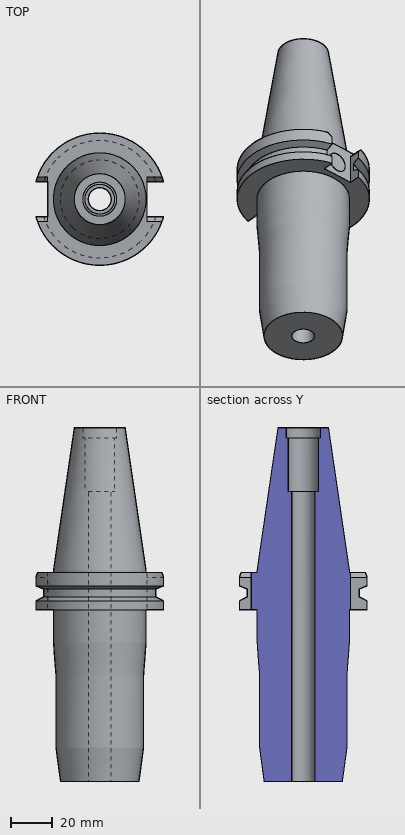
import cadquery as cq

total_height = 169.8
nose_height = 16.3
grip_top = 51.0
shoulder_height = 66.8
flange_bottom = 82.4
flange_top = 100.4
gauge_height = 101.4

nose_radius = 18.9
grip_radius = 21.0
gauge_radius = 22.3
taper_end_radius = 12.2
flange_radius = 31.8

groove_radius = 28.2
groove_lower_edge = 86.8
groove_floor_bottom = 88.7
groove_floor_top = 92.4
groove_upper_edge = 94.0

slot_width = 16.6
slot_chamfer = 2.4
left_slot_floor = 25.0
right_slot_floor = 22.8
spot_radius = 5.0
spot_depth = 0.08
spot_height = 90.4

through_radius = 5.5
thread_radius = 7.1
thread_depth = 30.5
counterbore_radius = 8.2
counterbore_depth = 5.0


def turned_body():
    """Solid of revolution: nose, grip, flange with groove, and taper."""
    profile = [
        (0, 0),
        (nose_radius, 0),
        (grip_radius, nose_height),
        (grip_radius, grip_top),
        (gauge_radius, shoulder_height),
        (gauge_radius, flange_bottom),
        (flange_radius, flange_bottom),
        (flange_radius, groove_lower_edge),
        (groove_radius, groove_floor_bottom),
        (groove_radius, groove_floor_top),
        (flange_radius, groove_upper_edge),
        (flange_radius, flange_top),
        (gauge_radius, flange_top),
        (gauge_radius, gauge_height),
        (taper_end_radius, total_height),
        (0, total_height),
    ]
    return cq.Workplane("XZ").polyline(profile).close().revolve(360, (0, 0, 0), (0, 1, 0))


def drive_slot(side, floor):
    """Cutter for one slot with chamfered top edges; side is -1 or 1 along X."""
    half_width = slot_width / 2
    outline = [
        (-half_width, flange_bottom),
        (half_width, flange_bottom),
        (half_width, flange_top - slot_chamfer),
        (half_width + slot_chamfer, flange_top),
        (-half_width - slot_chamfer, flange_top),
        (-half_width, flange_top - slot_chamfer),
    ]
    return (
        cq.Workplane("YZ", origin=(side * floor, 0, 0))
        .polyline(outline)
        .close()
        .extrude(side * (flange_radius - floor))
    )


def floor_spot(side, floor):
    """Shallow round recess in the floor of a slot."""
    return (
        cq.Workplane("YZ", origin=(side * floor, 0, spot_height))
        .circle(spot_radius)
        .extrude(-side * spot_depth)
    )


def axial_bore():
    """Through bore with a threaded-size step and a counterbore at the taper end."""
    counterbore_floor = total_height - counterbore_depth
    profile = [
        (0, 0),
        (through_radius, 0),
        (through_radius, total_height - thread_depth),
        (thread_radius, total_height - thread_depth),
        (thread_radius, counterbore_floor),
        (counterbore_radius, counterbore_floor),
        (counterbore_radius, total_height),
        (0, total_height),
    ]
    return cq.Workplane("XZ").polyline(profile).close().revolve(360, (0, 0, 0), (0, 1, 0))


result = turned_body().cut(axial_bore())
for side, floor in ((-1, left_slot_floor), (1, right_slot_floor)):
    result = result.cut(drive_slot(side, floor))
result = result.cut(floor_spot(-1, left_slot_floor))